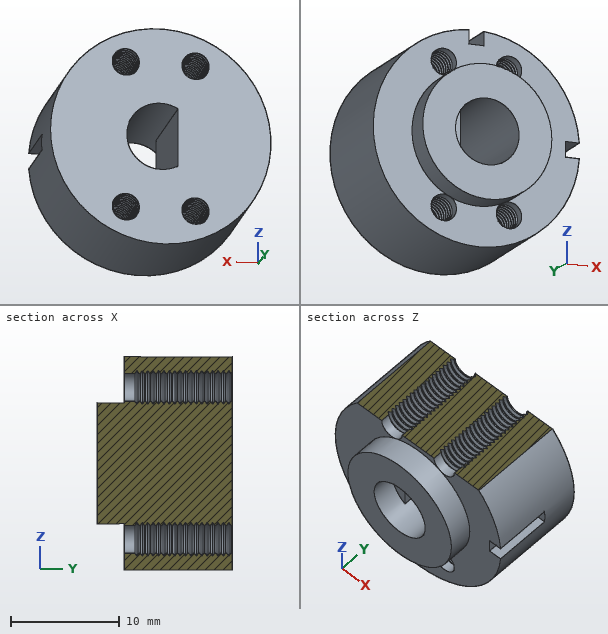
import cadquery as cq

body_diameter = 20.8
body_length = 10.0
boss_diameter = 13.0
boss_length = 2.5

bore_diameter = 6.4
flat_offset = 1.62

slot_width = 1.5
slot_depth = 1.41
slot_length = 6.0

hole_diameter = 2.54
thread_diameter = 3.08
hole_offset_x = 3.29
hole_offset_z = 7.0
thread_start = 1.0
thread_pitch = 0.5
crest_width = 0.12

hole_radius = hole_diameter / 2
thread_radius = thread_diameter / 2
body_radius = body_diameter / 2


def cylinder(diameter, y_start, length):
    """Solid cylinder on the Y axis, from y_start towards +Y."""
    plane = cq.Workplane("XZ", origin=(0, y_start, 0))
    return plane.circle(diameter / 2).extrude(-length)


def bore():
    """Round bore along the whole part, with a flat along the body."""
    total_length = boss_length + body_length
    round_bore = cylinder(bore_diameter, -boss_length, total_length)
    flat_filler = cq.Workplane("XY").box(
        bore_diameter, body_length, bore_diameter, centered=(True, False, True)
    ).translate((-flat_offset - bore_diameter / 2, 0, 0))
    return round_bore.cut(flat_filler)


def top_slot():
    """Cutter for the key slot at the +Z side of the rim."""
    return cq.Workplane("XY").box(
        slot_width, slot_length, slot_depth, centered=(True, False, False)
    ).translate((0, 0, body_radius - slot_depth))


def threaded_hole():
    """Cutter on the Y axis: a through hole with V-shaped ring grooves."""
    groove_width = thread_pitch - crest_width
    groove_count = int((body_length - thread_start) / thread_pitch)
    profile = cq.Workplane("XY").moveTo(0, 0).lineTo(hole_radius, 0)
    for index in range(groove_count):
        groove_start = thread_start + index * thread_pitch
        profile = profile.lineTo(hole_radius, groove_start)
        profile = profile.lineTo(thread_radius, groove_start + groove_width / 2)
        profile = profile.lineTo(hole_radius, groove_start + groove_width)
    profile = profile.lineTo(hole_radius, body_length).lineTo(0, body_length).close()
    return profile.revolve(360, (0, 0, 0), (0, 1, 0))


result = cylinder(body_diameter, 0, body_length)
result = result.union(cylinder(boss_diameter, -boss_length, boss_length))
result = result.cut(bore())

for angle in (0, 90):
    result = result.cut(top_slot().rotate((0, 0, 0), (0, 1, 0), angle))

for side_x in (-1, 1):
    for side_z in (-1, 1):
        position = (side_x * hole_offset_x, 0, side_z * hole_offset_z)
        result = result.cut(threaded_hole().translate(position))